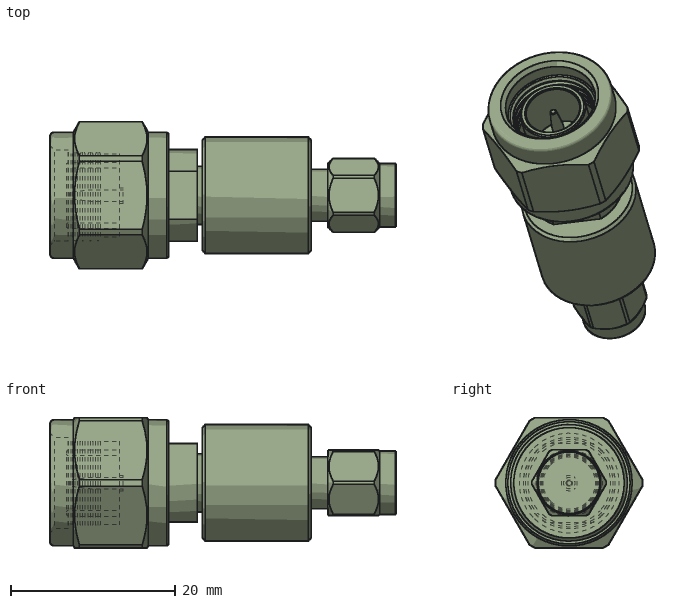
import cadquery as cq
import math


LENGTH = 42.15
LARGE_HEX_START = 2.85
LARGE_HEX_END = 11.97
LARGE_NUT_END = 14.5
FLATTED_COLLAR_END = 17.95
BODY_START = 18.55
BODY_END = 31.85
SMALL_HEX_START = 33.85
SMALL_HEX_END = 40.15

LARGE_NUT_DIAMETER = 15.4
LARGE_HEX_FLATS = 15.9
LARGE_HEX_CORNERS = 17.9
LARGE_HEX_CHAMFER_ANGLE = 30
LARGE_NUT_MOUTH_FILLET = 0.55
LARGE_NUT_BACK_CHAMFER = 0.25
COLLAR_DIAMETER = 11.2
COLLAR_FLATS = 9.55
FRONT_NECK_DIAMETER = 7.13
BODY_DIAMETER = 14.2
BODY_CHAMFER = 0.4
REAR_NECK_DIAMETER = 6.35
SMALL_NUT_DIAMETER = 7.75
SMALL_HEX_FLATS = 8.0
SMALL_HEX_CORNERS = 9.02
SMALL_HEX_CHAMFER_ANGLE = 45
SMALL_NUT_END_CHAMFER = 0.13

MOUTH_DIAMETER = 12.15
MOUTH_CHAMFER = 0.5
BORE_END = 2.15
LEAD_IN_DIAMETER = 10.65
LEAD_IN_START = 2.25
LEAD_IN_END = 2.57
THREAD_DIAMETER = 10.08
THREAD_ROOT_DIAMETER = 11.15
THREAD_PITCH = 0.93
THREAD_ANGLE = 60
THREAD_CREST_WIDTH = 0.15
THREAD_GROOVES = 4
SOCKET_DEPTH = 8.45

TUBE_START = 2.02
TUBE_DIAMETER = 8.1
TUBE_BORE_DIAMETER = 6.65
TUBE_OUTER_CHAMFER = 0.15
TUBE_INNER_CHAMFER = 0.13
PIN_START = 2.3
PIN_DIAMETER = 1.4
PIN_TIP_DIAMETER = 0.75
PIN_TIP_CHAMFER = 0.1
PIN_TAPER_LENGTH = 2.55
PIN_RECESS_DIAMETER = 1.9
PIN_RECESS_DEPTH = 0.42


def revolve_about_axis(points):
    """Solid of revolution about X from (x, radius) points."""
    return cq.Workplane("XY").polyline(points).close().revolve(360, (0, 0, 0), (1, 0, 0))


def cylinder(start, end, diameter):
    """Cylinder along X between two stations."""
    return cq.Workplane("YZ").workplane(offset=start).circle(diameter / 2).extrude(end - start)


def nut_hexagon(start, end, flats, corners, chamfer_foot, angle):
    """Hexagon with horizontal flats, its corners turned down and both ends coned from the foot diameter."""
    hexagon = (
        cq.Workplane("YZ")
        .workplane(offset=start)
        .polygon(6, flats / math.cos(math.radians(30)))
        .extrude(end - start)
    )
    cone_length = (corners - chamfer_foot) / 2 * math.tan(math.radians(angle))
    envelope = revolve_about_axis([
        (start, 0),
        (start, chamfer_foot / 2),
        (start + cone_length, corners / 2),
        (end - cone_length, corners / 2),
        (end, chamfer_foot / 2),
        (end, 0),
    ])
    return hexagon.intersect(envelope)


def large_nut():
    barrel = cylinder(0, LARGE_NUT_END, LARGE_NUT_DIAMETER)
    barrel = barrel.faces("<X").edges().fillet(LARGE_NUT_MOUTH_FILLET)
    barrel = barrel.faces(">X").edges().chamfer(LARGE_NUT_BACK_CHAMFER)
    return barrel.union(nut_hexagon(
        LARGE_HEX_START, LARGE_HEX_END, LARGE_HEX_FLATS, LARGE_HEX_CORNERS,
        LARGE_NUT_DIAMETER, LARGE_HEX_CHAMFER_ANGLE,
    ))


def socket():
    """Hollow of the large nut, with its chamfered mouth and its lead-in step."""
    bore_diameter = MOUTH_DIAMETER - 2 * MOUTH_CHAMFER
    return revolve_about_axis([
        (0, 0),
        (0, MOUTH_DIAMETER / 2),
        (MOUTH_CHAMFER, bore_diameter / 2),
        (BORE_END, bore_diameter / 2),
        (LEAD_IN_START, LEAD_IN_DIAMETER / 2),
        (LEAD_IN_END, THREAD_DIAMETER / 2),
        (SOCKET_DEPTH, THREAD_DIAMETER / 2),
        (SOCKET_DEPTH, 0),
    ])


def thread_grooves():
    """Ring-shaped V grooves standing for the internal thread behind the lead-in."""
    depth = (THREAD_ROOT_DIAMETER - THREAD_DIAMETER) / 2
    half_width = depth * math.tan(math.radians(THREAD_ANGLE / 2))
    first_groove = LEAD_IN_END + THREAD_CREST_WIDTH + half_width
    grooves = cq.Workplane("XY")
    for index in range(THREAD_GROOVES):
        middle = first_groove + index * THREAD_PITCH
        grooves = grooves.union(revolve_about_axis([
            (middle - half_width, 0),
            (middle - half_width, THREAD_DIAMETER / 2),
            (middle, THREAD_ROOT_DIAMETER / 2),
            (middle + half_width, THREAD_DIAMETER / 2),
            (middle + half_width, 0),
        ]))
    return grooves


def tube():
    sleeve = cylinder(TUBE_START, SOCKET_DEPTH, TUBE_DIAMETER)
    sleeve = sleeve.faces("<X").edges().chamfer(TUBE_OUTER_CHAMFER)
    sleeve = sleeve.cut(cylinder(TUBE_START, SOCKET_DEPTH, TUBE_BORE_DIAMETER))
    inner_rim = cq.selectors.RadiusNthSelector(0)
    return sleeve.faces("<X").edges(inner_rim).chamfer(TUBE_INNER_CHAMFER)


def pin():
    """Centre pin with a tapered tip, rooted in the floor of its recess."""
    return revolve_about_axis([
        (PIN_START, 0),
        (PIN_START, PIN_TIP_DIAMETER / 2 - PIN_TIP_CHAMFER),
        (PIN_START + PIN_TIP_CHAMFER, PIN_TIP_DIAMETER / 2),
        (PIN_START + PIN_TAPER_LENGTH, PIN_DIAMETER / 2),
        (SOCKET_DEPTH + PIN_RECESS_DEPTH, PIN_DIAMETER / 2),
        (SOCKET_DEPTH + PIN_RECESS_DEPTH, 0),
    ])


def flatted_collar():
    """Round collar with two wrench flats facing up and down."""
    collar = cylinder(LARGE_NUT_END, FLATTED_COLLAR_END, COLLAR_DIAMETER)
    return collar.intersect(cq.Workplane("XY").box(2 * LENGTH, COLLAR_DIAMETER, COLLAR_FLATS))


def body():
    barrel = cylinder(BODY_START, BODY_END, BODY_DIAMETER)
    return barrel.faces("<X or >X").edges().chamfer(BODY_CHAMFER)


def small_nut():
    barrel = cylinder(SMALL_HEX_START, LENGTH, SMALL_NUT_DIAMETER)
    barrel = barrel.faces(">X").edges().chamfer(SMALL_NUT_END_CHAMFER)
    return barrel.union(nut_hexagon(
        SMALL_HEX_START, SMALL_HEX_END, SMALL_HEX_FLATS, SMALL_HEX_CORNERS,
        SMALL_NUT_DIAMETER, SMALL_HEX_CHAMFER_ANGLE,
    ))


outside = (
    large_nut()
    .union(flatted_collar())
    .union(cylinder(FLATTED_COLLAR_END, BODY_START, FRONT_NECK_DIAMETER))
    .union(body())
    .union(cylinder(BODY_END, SMALL_HEX_START, REAR_NECK_DIAMETER))
    .union(small_nut())
)
pin_recess = cylinder(SOCKET_DEPTH, SOCKET_DEPTH + PIN_RECESS_DEPTH, PIN_RECESS_DIAMETER)

result = outside.cut(socket()).cut(thread_grooves()).cut(pin_recess).union(tube()).union(pin())